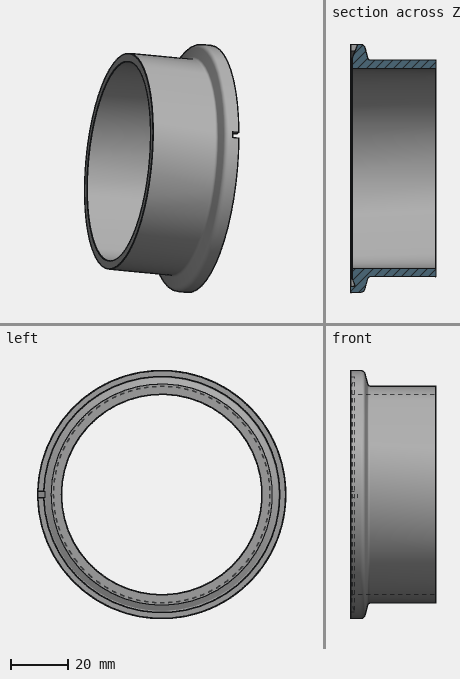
import cadquery as cq
import math

length = 30.0
flange_diameter = 87
tube_diameter = 76.0
bore_diameter = 70.0

rim_width = 3.6
rim_round = 1.65
back_face_angle = math.radians(15)
neck_round = 1.0

sealing_face_setback = 0.6
groove_outer_radius = 41.2
groove_inner_radius = 38.7
groove_floor_angle = math.radians(22)
groove_corner_round = 0.35

slot_width = 2.1

edge_break = 0.2

flange_radius = flange_diameter / 2
tube_radius = tube_diameter / 2
bore_radius = bore_diameter / 2


def groove_floor_depth(radius):
    """Depth of the conical groove floor, which deepens outward from the sealing face."""
    return sealing_face_setback + (radius - groove_inner_radius) * math.tan(groove_floor_angle)


def revolve_about_x(profile):
    """Revolve a closed (x, radius) profile a full turn about the X axis."""
    return profile.close().revolve(360, (0, 0, 0), (1, 0, 0))


def point_on_round(center, radius, angle):
    """Point on a round, with the angle measured from the +X direction."""
    return (center[0] + radius * math.cos(angle), center[1] + radius * math.sin(angle))


def flanged_tube():
    """Bored tube with a clamping flange whose back face is a shallow cone."""
    rim_center = (rim_width, flange_radius - rim_round)
    rim_middle = point_on_round(rim_center, rim_round, (math.pi / 2 + back_face_angle) / 2)
    cone_start = point_on_round(rim_center, rim_round, back_face_angle)

    neck_center_radius = tube_radius + neck_round
    cone_end_radius = neck_center_radius - neck_round * math.sin(back_face_angle)
    cone_end_x = cone_start[0] + (cone_start[1] - cone_end_radius) * math.tan(back_face_angle)
    neck_center = (cone_end_x + neck_round * math.cos(back_face_angle), neck_center_radius)
    neck_middle_angle = (math.pi + back_face_angle + 3 * math.pi / 2) / 2
    neck_middle = point_on_round(neck_center, neck_round, neck_middle_angle)

    profile = (
        cq.Workplane("XY")
        .moveTo(0, bore_radius)
        .lineTo(0, flange_radius - edge_break)
        .lineTo(edge_break, flange_radius)
        .lineTo(rim_width, flange_radius)
        .threePointArc(rim_middle, cone_start)
        .lineTo(cone_end_x, cone_end_radius)
        .threePointArc(neck_middle, (neck_center[0], tube_radius))
        .lineTo(length - edge_break, tube_radius)
        .lineTo(length, tube_radius - edge_break)
        .lineTo(length, bore_radius + edge_break)
        .lineTo(length - edge_break, bore_radius)
    )
    return revolve_about_x(profile)


def gasket_groove():
    """Ring cutter for the setback sealing face and the groove around it."""
    corner_center_radius = groove_outer_radius - groove_corner_round
    corner_offset = groove_corner_round / math.cos(groove_floor_angle)
    corner_center = (groove_floor_depth(corner_center_radius) - corner_offset, corner_center_radius)
    corner_middle_angle = (math.pi / 2 - groove_floor_angle) / 2
    corner_middle = point_on_round(corner_center, groove_corner_round, corner_middle_angle)
    floor_start = point_on_round(corner_center, groove_corner_round, -groove_floor_angle)

    bore_edge = bore_radius + edge_break
    profile = (
        cq.Workplane("XY")
        .moveTo(0, bore_radius)
        .lineTo(0, groove_outer_radius + edge_break)
        .lineTo(edge_break, groove_outer_radius)
        .lineTo(corner_center[0], groove_outer_radius)
        .threePointArc(corner_middle, floor_start)
        .lineTo(sealing_face_setback, groove_inner_radius)
        .lineTo(sealing_face_setback, bore_edge)
        .lineTo(sealing_face_setback + edge_break, bore_radius)
    )
    return revolve_about_x(profile)


def locating_slot():
    """Cutter that opens the groove on the +Y side, with beveled mouth edges."""
    inner_end = groove_outer_radius - groove_corner_round
    half_width = slot_width / 2
    wedge = (
        cq.Workplane("XY")
        .workplane(offset=-half_width)
        .moveTo(0, inner_end)
        .lineTo(0, flange_radius)
        .lineTo(groove_floor_depth(flange_radius), flange_radius)
        .lineTo(groove_floor_depth(inner_end), inner_end)
        .close()
        .extrude(slot_width)
    )
    mouth = (
        cq.Workplane("XZ", origin=(0, flange_radius, 0))
        .moveTo(0, -half_width - edge_break)
        .lineTo(0, half_width + edge_break)
        .lineTo(edge_break, half_width)
        .lineTo(edge_break, -half_width)
        .close()
        .extrude(flange_radius - inner_end)
    )
    return wedge.union(mouth)


result = flanged_tube().cut(gasket_groove()).cut(locating_slot())